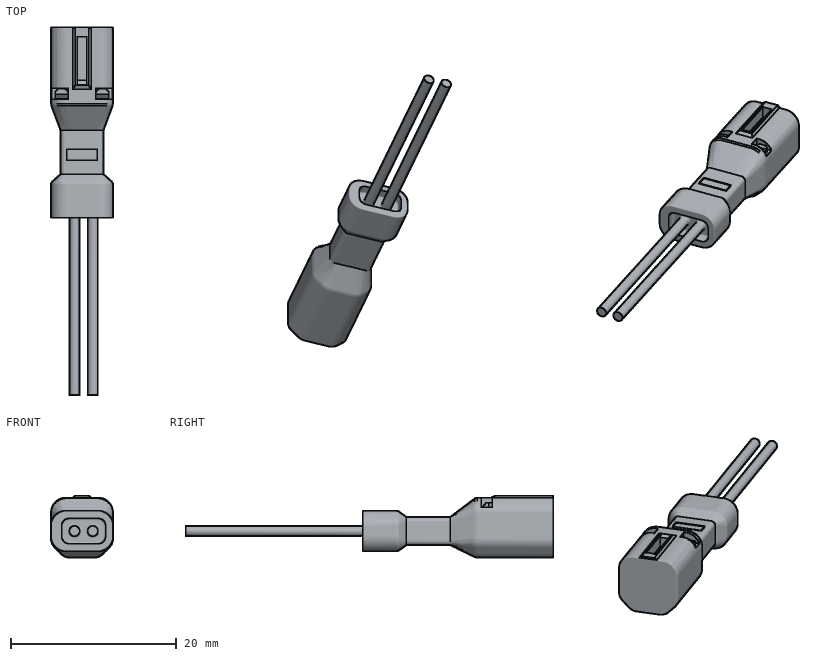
import cadquery as cq
import math


HOUSING_END = -9.35
TAPER_END = -12.43
NECK_END = -17.72
COLLAR_START = -18.75
COLLAR_END = -23.0
WIRE_END = -44.35

HALF_WIDTH = 3.75
HOUSING_TOP = 3.5
HOUSING_BOTTOM = -3.75
TOP_RADIUS = 1.83
TOP_FACET_UPPER_ANGLE = 54.0
TOP_FACET_LOWER_ANGLE = 35.0
BEVEL_SIZE = 1.68
BEVEL_RADIUS = 1.5
BEVEL_ANGLE = 45.0
END_ROUND = 0.15
SHOULDER_BLEND = 0.15

WIRE_Z = -0.53
NECK_HALF_WIDTH = 2.6
NECK_HALF_HEIGHT = 1.7
NECK_RADIUS = 0.55
NECK_TOP_FLAT = 1.17
NECK_FACET_X = 1.85
NECK_BOTTOM_FLAT = 1.0
NECK_BOTTOM_SPLIT = 1.55
COLLAR_HALF_HEIGHT = 2.45
COLLAR_RADIUS = 1.82
COLLAR_SHOULDER_ROUND = 0.5

WIRE_DIAMETER = 1.25
WIRE_SPACING = 2.2
WIRE_CENTER_X = 0.2
WIRE_POCKET_WIDTH = 5.3
WIRE_POCKET_HEIGHT = 3.05
WIRE_POCKET_DEPTH = 1.2
WIRE_POCKET_RADIUS = 0.9
WIRE_POCKET_FLOOR_ROUND = 0.25

RIB_HEIGHT = 0.25
RIB_BASE_HALF_WIDTH = 1.1
RIB_TOP_HALF_WIDTH = 0.82
RIB_TOP_END = -7.0
RIB_BASE_END = -7.5
SLOT_HALF_WIDTH = 0.6
SLOT_START = -1.15
SLOT_FLOOR_END = -6.4
SLOT_RAMP_END = -6.95
SLOT_DEPTH = 1.5

NOTCH_START = -7.35
NOTCH_END = -8.7
NOTCH_INNER_X = 1.65
NOTCH_FLOOR = 2.33
BARB_OUTER_X = 3.25
BARB_TOP = 2.85
BARB_CREST_START = -7.4
BARB_CREST_END = -8.1
BARB_END = -8.6
BARB_CORNER = 0.45

PANEL_WIDTH = 3.65
PANEL_START = -14.72
PANEL_END = -16.05
PANEL_DEPTH = 0.1


def cross_section(y):
    """Sketch plane across the part, looking toward +Y; extrusion runs toward -Y."""
    return cq.Workplane("XZ", origin=(0, y, 0))


def arc(center_x, center_z, radius, start, end):
    """Middle and end points of an arc; angles in degrees from +X toward +Z."""
    angles = (math.radians((start + end) / 2), math.radians(end))
    return [(center_x + radius * math.cos(a), center_z + radius * math.sin(a)) for a in angles]


def mirrored_outline(y, first, steps):
    """Closed outline from its right side, listed from top to bottom.

    Each step holds one point for a line, or the middle and end points for an arc.
    """
    def flip(point):
        return (-point[0], point[1])

    outline = cross_section(y).moveTo(*flip(first)).lineTo(*first)
    for step in steps:
        outline = outline.lineTo(*step[0]) if len(step) == 1 else outline.threePointArc(*step)
    outline = outline.lineTo(*flip(steps[-1][-1]))
    starts = [first] + [step[-1] for step in steps[:-1]]
    for start, step in reversed(list(zip(starts, steps))):
        target = flip(start)
        outline = outline.lineTo(*target) if len(step) == 1 else outline.threePointArc(flip(step[0]), target)
    return outline.close()


def housing_outline(y):
    top_x = HALF_WIDTH - TOP_RADIUS
    top_z = HOUSING_TOP - TOP_RADIUS
    tangent = BEVEL_RADIUS * math.tan(math.radians(BEVEL_ANGLE / 2))
    side_x = HALF_WIDTH - BEVEL_RADIUS
    side_z = HOUSING_BOTTOM + BEVEL_SIZE + tangent
    floor_x = HALF_WIDTH - BEVEL_SIZE - tangent
    floor_z = HOUSING_BOTTOM + BEVEL_RADIUS
    facet_end = arc(top_x, top_z, TOP_RADIUS, TOP_FACET_UPPER_ANGLE, TOP_FACET_LOWER_ANGLE)[1]
    bevel_end = arc(floor_x, floor_z, BEVEL_RADIUS, 0, -BEVEL_ANGLE)[1]
    return mirrored_outline(y, (top_x, HOUSING_TOP), [
        arc(top_x, top_z, TOP_RADIUS, 90, TOP_FACET_UPPER_ANGLE),
        [facet_end],
        arc(top_x, top_z, TOP_RADIUS, TOP_FACET_LOWER_ANGLE, 0),
        [(HALF_WIDTH, side_z)],
        arc(side_x, side_z, BEVEL_RADIUS, 0, -BEVEL_ANGLE),
        [bevel_end],
        arc(floor_x, floor_z, BEVEL_RADIUS, -BEVEL_ANGLE, -90),
    ])


def neck_outline(y):
    """Rounded rectangle, divided into as many pieces as the housing outline."""
    corner_x = NECK_HALF_WIDTH - NECK_RADIUS
    corner_dz = NECK_HALF_HEIGHT - NECK_RADIUS
    top = WIRE_Z + NECK_HALF_HEIGHT
    bottom = WIRE_Z - NECK_HALF_HEIGHT
    return mirrored_outline(y, (NECK_TOP_FLAT, top), [
        [(NECK_FACET_X, top)],
        [(corner_x, top)],
        arc(corner_x, WIRE_Z + corner_dz, NECK_RADIUS, 90, 0),
        [(NECK_HALF_WIDTH, WIRE_Z - corner_dz)],
        arc(corner_x, WIRE_Z - corner_dz, NECK_RADIUS, 0, -90),
        [(NECK_BOTTOM_SPLIT, bottom)],
        [(NECK_BOTTOM_FLAT, bottom)],
    ])


def rounded_outline(y, half_width, half_height, radius):
    corner_x = half_width - radius
    corner_dz = half_height - radius
    return mirrored_outline(y, (corner_x, WIRE_Z + half_height), [
        arc(corner_x, WIRE_Z + corner_dz, radius, 90, 0),
        [(half_width, WIRE_Z - corner_dz)],
        arc(corner_x, WIRE_Z - corner_dz, radius, 0, -90),
    ])


def ruled_loft(first, second):
    wires = [outline.wires().val() for outline in (first, second)]
    return cq.Workplane(cq.Solid.makeLoft(wires, True))


def edges_across(body, y):
    """Edges lying in the plane across the part at y."""
    reach = 2 * HALF_WIDTH
    gap = 0.001
    return body.edges(cq.selectors.BoxSelector(
        (-reach, y - gap, -reach), (reach, y + gap, reach), boundingbox=True))


def housing():
    block = housing_outline(0).extrude(-HOUSING_END)
    taper = ruled_loft(housing_outline(HOUSING_END), neck_outline(TAPER_END))
    body = block.union(taper, clean=False)
    body = edges_across(body, HOUSING_END).chamfer(SHOULDER_BLEND)
    return edges_across(body, 0).fillet(END_ROUND)


def neck():
    outline = rounded_outline(TAPER_END, NECK_HALF_WIDTH, NECK_HALF_HEIGHT, NECK_RADIUS)
    return outline.extrude(TAPER_END - NECK_END)


def collar():
    def outline(y):
        return rounded_outline(y, HALF_WIDTH, COLLAR_HALF_HEIGHT, COLLAR_RADIUS)

    block = outline(COLLAR_START).extrude(COLLAR_START - COLLAR_END)
    neck_end = rounded_outline(NECK_END, NECK_HALF_WIDTH, NECK_HALF_HEIGHT, NECK_RADIUS)
    body = block.union(ruled_loft(neck_end, outline(COLLAR_START)), clean=False)
    body = edges_across(body, COLLAR_START).fillet(COLLAR_SHOULDER_ROUND)
    return edges_across(body, COLLAR_END).fillet(END_ROUND)


def wires():
    """Both wires, from the pocket floor to their free ends."""
    start = COLLAR_END + WIRE_POCKET_DEPTH
    centers = [(WIRE_CENTER_X + side * WIRE_SPACING / 2, WIRE_Z) for side in (-1, 1)]
    return cross_section(start).pushPoints(centers).circle(WIRE_DIAMETER / 2).extrude(start - WIRE_END)


def wire_pocket():
    """Space around the wires, with its floor rounded into the walls and the wires."""
    pocket = cross_section(COLLAR_END + WIRE_POCKET_DEPTH).center(WIRE_CENTER_X, WIRE_Z)
    pocket = pocket.rect(WIRE_POCKET_WIDTH, WIRE_POCKET_HEIGHT).extrude(WIRE_POCKET_DEPTH)
    pocket = pocket.edges("|Y").fillet(WIRE_POCKET_RADIUS)
    return pocket.cut(wires()).faces(">Y").edges().fillet(WIRE_POCKET_FLOOR_ROUND)


def rib():
    """Low rib with sloping sides and a sloping rear end."""
    rib_top = HOUSING_TOP + RIB_HEIGHT
    bar = (
        cross_section(0)
        .moveTo(-RIB_BASE_HALF_WIDTH, HOUSING_TOP)
        .lineTo(-RIB_TOP_HALF_WIDTH, rib_top)
        .lineTo(RIB_TOP_HALF_WIDTH, rib_top)
        .lineTo(RIB_BASE_HALF_WIDTH, HOUSING_TOP)
        .lineTo(RIB_BASE_HALF_WIDTH, 0)
        .lineTo(-RIB_BASE_HALF_WIDTH, 0)
        .close()
        .extrude(-RIB_BASE_END)
    )
    profile = (
        cq.Workplane("YZ")
        .moveTo(-END_ROUND, 0)
        .lineTo(-END_ROUND, HOUSING_TOP)
        .lineTo(0, HOUSING_TOP)
        .lineTo(0, rib_top)
        .lineTo(RIB_TOP_END, rib_top)
        .lineTo(RIB_BASE_END, HOUSING_TOP)
        .lineTo(RIB_BASE_END, 0)
        .close()
        .extrude(RIB_BASE_HALF_WIDTH, both=True)
    )
    return bar.intersect(profile)


def rib_slot():
    """Slot in the rib with a ramp at its rear end."""
    rib_top = HOUSING_TOP + RIB_HEIGHT
    return (
        cq.Workplane("YZ")
        .moveTo(SLOT_START, rib_top)
        .lineTo(SLOT_START, rib_top - SLOT_DEPTH)
        .lineTo(SLOT_FLOOR_END, rib_top - SLOT_DEPTH)
        .lineTo(SLOT_FLOOR_END, HOUSING_TOP)
        .lineTo(SLOT_RAMP_END, rib_top)
        .close()
        .extrude(SLOT_HALF_WIDTH, both=True)
    )


def notch_space():
    """Space removed at the right-hand corner notch, leaving the barb standing."""
    space = cq.Workplane("XY").box(
        HALF_WIDTH - NOTCH_INNER_X, NOTCH_START - NOTCH_END, HOUSING_TOP - NOTCH_FLOOR, centered=False
    ).translate((NOTCH_INNER_X, NOTCH_END, NOTCH_FLOOR))
    barb = (
        cq.Workplane("YZ", origin=(NOTCH_INNER_X, 0, 0))
        .moveTo(NOTCH_START, NOTCH_FLOOR)
        .lineTo(BARB_CREST_START, BARB_TOP)
        .lineTo(BARB_CREST_END, BARB_TOP)
        .lineTo(BARB_END, NOTCH_FLOOR)
        .close()
        .extrude(BARB_OUTER_X - NOTCH_INNER_X)
    )
    plan = (
        cq.Workplane("XY")
        .moveTo(NOTCH_INNER_X, NOTCH_END)
        .lineTo(NOTCH_INNER_X, NOTCH_START - BARB_CORNER)
        .lineTo(NOTCH_INNER_X + BARB_CORNER, NOTCH_START)
        .lineTo(BARB_OUTER_X - BARB_CORNER, NOTCH_START)
        .lineTo(BARB_OUTER_X, NOTCH_START - BARB_CORNER)
        .lineTo(BARB_OUTER_X, NOTCH_END)
        .close()
        .extrude(HOUSING_TOP)
    )
    return space.cut(barb.intersect(plan))


def marking_panel():
    panel_floor = WIRE_Z + NECK_HALF_HEIGHT - PANEL_DEPTH
    panel = cq.Workplane("XY", origin=(0, (PANEL_START + PANEL_END) / 2, panel_floor))
    return panel.rect(PANEL_WIDTH, PANEL_START - PANEL_END).extrude(PANEL_DEPTH)


body = housing().union(neck(), clean=False).union(collar(), clean=False)
body = body.union(rib(), clean=False).cut(rib_slot(), clean=False)
right_notch = notch_space()
for notch in (right_notch, right_notch.mirror("YZ")):
    body = body.cut(notch, clean=False)
body = body.cut(marking_panel(), clean=False).cut(wire_pocket(), clean=False)
result = body.union(wires(), clean=False)